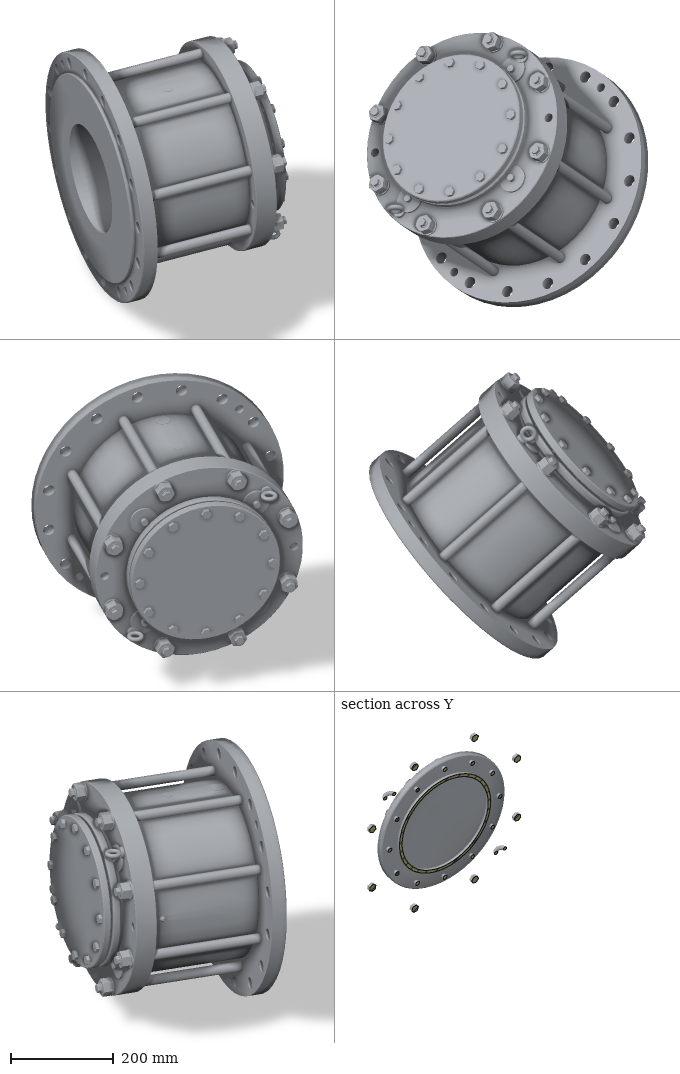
import cadquery as cq
import math


flange_dia = 505.0
flange_front = 7.0
flange_back = 37.5
flange_chamfer = 2.0
bolt_circle_dia = 459.5
bolt_hole_dia = 23.0
bolt_hole_count = 16
jack_hole_dia = 17.5
jack_hole_angles = (135, 315)

clamp_dia = 422.0
clamp_front = 262.0
clamp_back = 305.5
clamp_chamfer = 1.25
small_chamfer = 1.0

body_dia = 354.0
bore_dia = 219.5
inner_bore_dia = 210.0
hub_dia = 225.0

rod_circle_radius = 192.5
rod_count = 8
rod_dia = 20.0
rod_end = 329.0
rod_tip_corner_dia = 17.5
rod_tip_end = 336.5
washer_dia = 37.0
washer_thickness = 3.0
nut_corner_dia = 36.0
nut_height = 18.5
nut_chamfer = 1.75
clamp_hole_dia = 17.5
clamp_hole_angles = (0, 180)

seat_dia = 283.0
seat_thickness = 4.5
plate_dia = 303.5
plate_thickness = 15.0
plate_chamfer = 2.0
plate_gap = 5.0
gland_front = 314.5
gland_back = gland_front + plate_thickness
cover_front = gland_back + plate_gap
cover_back = cover_front + plate_thickness

cover_bolt_radius = 135.5
cover_bolt_count = 12
cover_bolt_dia = 10.0
cover_bolt_corner_dia = 19.0
cover_bolt_head = 7.0
cover_bolt_turn = 30

pad_dia = 53.5
pin_radius = 161.5
pin_dia = 13.0
pin_end = 318.5
pin_count = 4

eye_angles = (135, 315)
eye_collar_dia = 22.0
eye_collar_height = 6.5
eye_outer_dia = 33.0
eye_wire_dia = 8.5
eye_center = 325.0

plug_rise = 0.5
large_plug_dia = 30.0
large_plug_place = 57.5
small_plug_dia = 21.5
small_plug_place = 161.0
nipple_corner_dia = 13.0
nipple_tip_dia = 4.95
nipple_place = 238.5
nipple_hex_rise = 2.0
nipple_cone_rise = 4.0

embed = 5.0


def disc(dia, start, end, radius=0.0):
    """Cylinder along Y, its axis at the given distance from the pipe axis along X."""
    return cq.Workplane("XZ", origin=(radius, start, 0)).circle(dia / 2).extrude(start - end)


def hexagon(corner_dia, start, end, radius, turn=0):
    """Hexagonal prism along Y; with no turn a corner points away from the pipe axis."""
    prism = cq.Workplane("XZ").polygon(6, corner_dia).extrude(start - end)
    return prism.rotate((0, 0, 0), (0, 1, 0), turn).translate((radius, start, 0))


def at_angle(shape, angle):
    """Turn a shape about the pipe axis, from +X toward +Z."""
    return shape.rotate((0, 0, 0), (0, 1, 0), -angle)


def spread(count, first=0.0):
    """Evenly spaced angles around the pipe axis."""
    return [first + 360 / count * i for i in range(count)]


def add_all(base, shape, angles):
    """Join a copy of the shape to the base at each angle."""
    for angle in angles:
        base = base.union(at_angle(shape, angle))
    return base


def cut_all(base, shape, angles):
    """Remove a copy of the shape from the base at each angle."""
    for angle in angles:
        base = base.cut(at_angle(shape, angle))
    return base


def make_front_flange():
    plate = disc(flange_dia, flange_front, flange_back).faces("<Y").edges().chamfer(flange_chamfer)
    face = disc(clamp_dia, 0, flange_front).faces("<Y").edges().chamfer(small_chamfer)
    flange = plate.union(face)
    circle_radius = bolt_circle_dia / 2
    bolt_hole = disc(bolt_hole_dia, 0, flange_back, circle_radius)
    flange = cut_all(flange, bolt_hole, spread(bolt_hole_count, 180 / bolt_hole_count))
    return cut_all(flange, disc(jack_hole_dia, 0, flange_back, circle_radius), jack_hole_angles)


def make_clamp_flange():
    flange = disc(clamp_dia, clamp_front, clamp_back).edges().chamfer(clamp_chamfer)
    hole = disc(clamp_hole_dia, clamp_front, clamp_back, rod_circle_radius)
    return cut_all(flange, hole, clamp_hole_angles)


def make_gland():
    hub = disc(hub_dia, clamp_back, cover_front)
    seat = disc(seat_dia, clamp_back, clamp_back + seat_thickness)
    gland_plate = disc(plate_dia, gland_front, gland_back).edges().chamfer(plate_chamfer)
    cover = disc(plate_dia, cover_front, cover_back).edges().chamfer(plate_chamfer)
    return hub.union(seat).union(gland_plate).union(cover)


def make_tie_rod():
    washer_end = clamp_back + washer_thickness
    nut_end = washer_end + nut_height
    rod = disc(rod_dia, flange_back - embed, rod_end, rod_circle_radius)
    tip = hexagon(rod_tip_corner_dia, rod_end, rod_tip_end, rod_circle_radius)
    washer = disc(washer_dia, clamp_back, washer_end, rod_circle_radius)
    rounding = disc(nut_corner_dia, washer_end, nut_end, rod_circle_radius)
    rounding = rounding.faces(">Y").edges().chamfer(nut_chamfer)
    nut = hexagon(nut_corner_dia, washer_end, nut_end, rod_circle_radius).intersect(rounding)
    return rod.union(tip).union(washer).union(nut)


def make_cover_bolt():
    shank = disc(cover_bolt_dia, gland_back - embed, cover_back, cover_bolt_radius)
    head_end = cover_back + cover_bolt_head
    head = hexagon(cover_bolt_corner_dia, cover_back, head_end, cover_bolt_radius, cover_bolt_turn)
    return shank.union(head)


def make_lifting_eye(angle):
    collar = disc(eye_collar_dia, clamp_back - embed, clamp_back + eye_collar_height, rod_circle_radius)
    turn = math.radians(angle)
    place = (rod_circle_radius * math.cos(turn), eye_center, rod_circle_radius * math.sin(turn))
    ring_radius = (eye_outer_dia - eye_wire_dia) / 2
    ring = cq.Workplane(cq.Solid.makeTorus(ring_radius, eye_wire_dia / 2)).translate(place)
    return at_angle(collar, angle).union(ring)


def make_plug(dia, place):
    top = body_dia / 2 + plug_rise
    return cq.Workplane("XY", origin=(0, place, top)).circle(dia / 2).extrude(-embed)


def make_nipple():
    surface = body_dia / 2
    hex_base = cq.Workplane("YZ", origin=(embed - surface, nipple_place, 0)).polygon(6, nipple_corner_dia)
    hex_base = hex_base.extrude(-embed - nipple_hex_rise)
    flat_dia = nipple_corner_dia * math.cos(math.pi / 6)
    cone_base = cq.Vector(-surface - nipple_hex_rise, nipple_place, 0)
    outward = cq.Vector(-1, 0, 0)
    cone = cq.Solid.makeCone(flat_dia / 2, nipple_tip_dia / 2, nipple_cone_rise, cone_base, outward)
    return hex_base.union(cq.Workplane(cone))


body = disc(body_dia, flange_back, clamp_front).edges().chamfer(small_chamfer)
result = make_front_flange().union(body).union(make_clamp_flange()).union(make_gland())

result = result.cut(disc(bore_dia, 0, clamp_front))
result = result.cut(disc(inner_bore_dia, clamp_front, cover_front))

result = add_all(result, make_tie_rod(), spread(rod_count, 180 / rod_count))
result = add_all(result, make_cover_bolt(), spread(cover_bolt_count))
pad = disc(pad_dia, clamp_back, clamp_back + seat_thickness, pin_radius)
pin = disc(pin_dia, clamp_back - embed, pin_end, pin_radius).union(pad)
result = add_all(result, pin, spread(pin_count, 180 / pin_count))
for eye_angle in eye_angles:
    result = result.union(make_lifting_eye(eye_angle))

result = result.union(make_plug(large_plug_dia, large_plug_place))
result = result.union(make_plug(small_plug_dia, small_plug_place))
result = result.union(make_nipple())